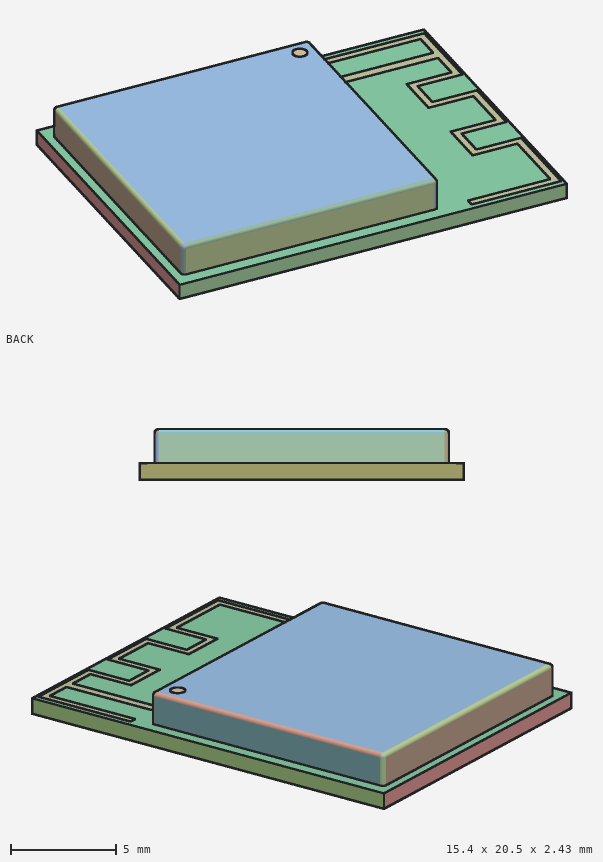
import cadquery as cq

board_width = 15.4
board_length = 20.5
board_thickness = 0.8
board_top_y = board_length / 2

shield_width = 14.0
shield_length = 13.55
shield_height = 1.62
shield_edge_margin = 0.5
shield_fillet = 0.2
shield_center_y = -board_length / 2 + shield_edge_margin + shield_length / 2
shield_top_z = board_thickness + shield_height

dot_radius = 0.36
dot_inset = 0.9
dot_height = 0.01

trace_height = 0.01
trace_width = 0.39
feed_width = 0.52
antenna_side_x = 7.18
antenna_top_y = board_top_y - 0.33
meander_low_y = antenna_top_y - 2.37
stub_end_y = board_top_y - 5.5
tail_end_y = board_top_y - 4.88
feed_x = -5.36
first_meander_x = -3.46
meander_gap = 1.97
meander_pitch = 4.74
meander_count = 2


def make_board():
    return cq.Workplane("XY").box(
        board_width, board_length, board_thickness, centered=(True, True, False)
    )


def make_shield():
    return (
        cq.Workplane("XY", origin=(0, shield_center_y, board_thickness))
        .rect(shield_width, shield_length)
        .extrude(shield_height)
        .edges("|Z or >Z")
        .fillet(shield_fillet)
    )


def make_dot():
    dot_x = -shield_width / 2 + dot_inset
    dot_y = shield_center_y + shield_length / 2 - dot_inset
    return (
        cq.Workplane("XY", origin=(dot_x, dot_y, shield_top_z))
        .circle(dot_radius)
        .extrude(dot_height)
    )


def trace_rectangle(x_min, x_max, y_min, y_max):
    return (
        cq.Workplane("XY", origin=((x_min + x_max) / 2, (y_min + y_max) / 2, board_thickness))
        .rect(x_max - x_min, y_max - y_min)
        .extrude(trace_height)
    )


def horizontal_trace(x_start, x_end, y):
    """Trace along X whose ends reach half a width past the given centre points."""
    half = trace_width / 2
    return trace_rectangle(x_start - half, x_end + half, y - half, y + half)


def vertical_trace(x, y_low, width=trace_width):
    """Trace along Y from y_low up to the outer edge of the antenna's top run."""
    return trace_rectangle(x - width / 2, x + width / 2, y_low, antenna_top_y + trace_width / 2)


def make_antenna():
    antenna = vertical_trace(-antenna_side_x, stub_end_y)
    antenna = antenna.union(vertical_trace(feed_x, stub_end_y, feed_width))
    antenna = antenna.union(vertical_trace(antenna_side_x, tail_end_y))

    top_run_start = -antenna_side_x
    for index in range(meander_count):
        left_x = first_meander_x + index * meander_pitch
        right_x = left_x + meander_gap
        antenna = antenna.union(horizontal_trace(top_run_start, left_x, antenna_top_y))
        antenna = antenna.union(horizontal_trace(left_x, right_x, meander_low_y))
        for leg_x in (left_x, right_x):
            antenna = antenna.union(vertical_trace(leg_x, meander_low_y))
        top_run_start = right_x
    return antenna.union(horizontal_trace(top_run_start, antenna_side_x, antenna_top_y)).clean()


result = make_board().union(make_antenna()).union(make_shield()).union(make_dot())